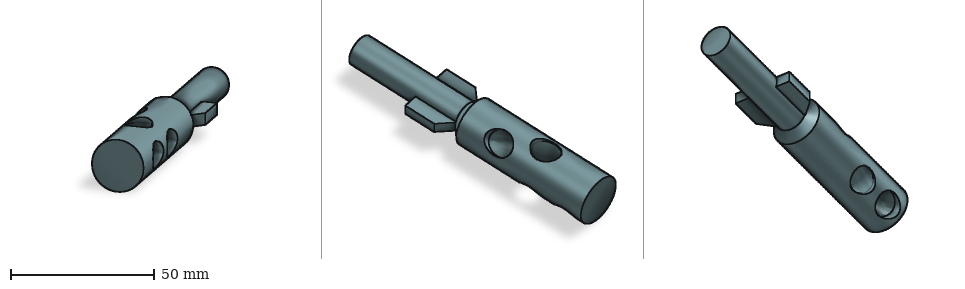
import cadquery as cq
import math

total_length = 109.1
handle_radius = 9.5
handle_length = 57.0
shank_radius = 6.0
shoulder_end = handle_length + handle_radius - shank_radius

wing_span = 22.4
wing_thickness = 4.4
wing_end = 79.0
wing_corner = shoulder_end + wing_span / 2 - shank_radius

mouth_length = 12.0
mouth_width = 9.6
deep_floor = 5.9
shallow_floor = 7.6
mouth_reach = handle_radius + 1.1
tunnels = [
    ((8.0, 225), (17.0, 0), deep_floor),
    ((24.0, 90), (24.0, 225), shallow_floor),
    ((33.0, 0), (40.0, 135), deep_floor),
]


def make_shaft():
    """Handle, conical shoulder and shank turned about the Y axis."""
    profile = [
        (0, 0),
        (handle_radius, 0),
        (handle_radius, handle_length),
        (shank_radius, shoulder_end),
        (shank_radius, total_length),
        (0, total_length),
    ]
    return cq.Workplane("XY").polyline(profile).close().revolve(360, (0, 0), (0, 1))


def make_wings():
    """One plate across the shank forms both wings."""
    tip = wing_span / 2
    outline = [
        (-tip, wing_end),
        (-tip, wing_corner),
        (-shank_radius, shoulder_end),
        (shank_radius, shoulder_end),
        (tip, wing_corner),
        (tip, wing_end),
    ]
    return cq.Workplane("XY").polyline(outline).close().extrude(wing_thickness / 2, both=True)


def mouth_section(mouth, floor):
    """Elliptical section at the mouth floor, facing outwards."""
    station, angle = mouth
    turn = math.radians(angle)
    outward = cq.Vector(math.cos(turn), 0, math.sin(turn))
    plane = cq.Plane(outward * floor + cq.Vector(0, station, 0), (0, 1, 0), outward)
    return cq.Workplane(plane).ellipse(mouth_length / 2, mouth_width / 2)


def make_tunnel(first, second, floor):
    """Two radial mouths and the straight-sided link between them."""
    sections = [mouth_section(mouth, floor).ctx.pendingWires[0] for mouth in (first, second)]
    link = cq.Solid.makeLoft(sections, True)
    depth = mouth_reach - floor
    tunnel = cq.Workplane(link)
    for mouth in (first, second):
        tunnel = tunnel.union(mouth_section(mouth, floor).extrude(depth))
    return tunnel


result = make_shaft().union(make_wings())
for first, second, floor in tunnels:
    result = result.cut(make_tunnel(first, second, floor))